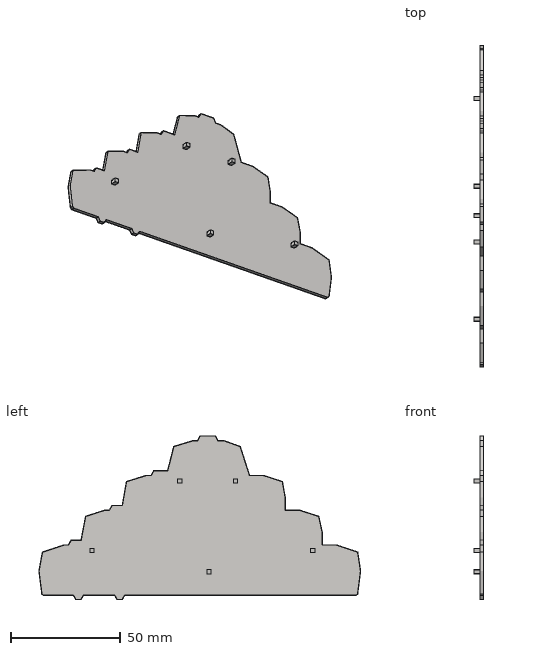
import cadquery as cq

plate_thickness = 1.8
half_length = 73.7
base_half_length = 72.3
waist_height = 11.2
base_chamfer = 0.7

first_ledge_height = 23.1
tier_rise = 15.9
tier_count = 4
ledge_heights = [first_ledge_height + tier_rise * tier for tier in range(tier_count)]
shoulder_drops = [3.2, 2.8, 2.8, 2.7]
step_height = 2.2
step_run = 1.2
right_wall_rise = 5.7

left_shoulders = [72.0, 52.3, 33.6, 12.0]
left_ledge_starts = [62.2, 43.6, 24.6, 3.2]
left_step_starts = [60.1, 41.4, 22.2, 1.0]
left_wall_feet = [54.4, 35.5, 14.7]
right_shoulders = [-72.3, -54.5, -37.9, -18.5]
right_ledge_starts = [-62.6, -45.8, -29.3, -11.2]
right_wall_feet = [-56.1, -39.2, -22.8]
top_step_end = -8.4

foot_centers = [55.5, 36.7]
foot_depth = 1.9
foot_tip_width = 2.4
foot_root_width = 4.5

peg_length = 2.8
peg_width = 1.9
peg_centers = [(49.4, 20.6), (-51.7, 20.6), (9.1, 52.5), (-16.4, 52.5), (-4.3, 10.9)]


def left_profile():
    """Left flank from the bottom edge up to the top step."""
    points = [
        (base_half_length - base_chamfer, 0),
        (base_half_length, base_chamfer),
        (half_length, waist_height),
    ]
    for tier, ledge in enumerate(ledge_heights):
        step_start = left_step_starts[tier]
        points += [
            (left_shoulders[tier], ledge - shoulder_drops[tier]),
            (left_ledge_starts[tier], ledge),
            (step_start, ledge),
            (step_start - step_run, ledge + step_height),
        ]
        if tier < tier_count - 1:
            points.append((left_wall_feet[tier], ledge + step_height))
    return points


def right_profile():
    """Right flank from the bottom edge up to the top step; its topmost wall leans all the way."""
    points = [
        (base_chamfer - base_half_length, 0),
        (-base_half_length, base_chamfer),
        (-half_length, waist_height),
    ]
    for tier, ledge in enumerate(ledge_heights):
        points += [
            (right_shoulders[tier], ledge - shoulder_drops[tier]),
            (right_ledge_starts[tier], ledge),
        ]
        if tier < tier_count - 1:
            points.append((right_wall_feet[tier], ledge))
        if tier < tier_count - 2:
            points.append((right_wall_feet[tier], ledge + right_wall_rise))
    top_ledge = ledge_heights[-1]
    points += [(top_step_end, top_ledge), (top_step_end + step_run, top_ledge + step_height)]
    return points


def bottom_foot(center):
    """Tapered foot below the bottom edge."""
    outline = [
        (center - foot_root_width / 2, 0),
        (center - foot_tip_width / 2, -foot_depth),
        (center + foot_tip_width / 2, -foot_depth),
        (center + foot_root_width / 2, 0),
    ]
    return cq.Workplane("YZ").polyline(outline).close().extrude(plate_thickness)


plate_outline = left_profile() + right_profile()[::-1]
result = cq.Workplane("YZ").polyline(plate_outline).close().extrude(plate_thickness)

for center in foot_centers:
    result = result.union(bottom_foot(center))

pegs = cq.Workplane("YZ").pushPoints(peg_centers).rect(peg_width, peg_width).extrude(-peg_length)
result = result.union(pegs)